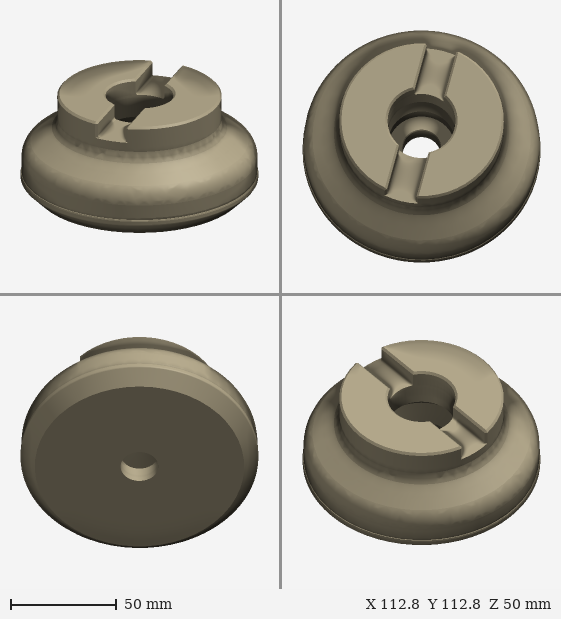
import cadquery as cq
import math

POSITION_TOLERANCE = 0.0001
UPRIGHT_LIMIT = 0.99

base_radius = 56.4
total_height = 50.0
joint_height = 9.5

bevel_corner_height = 6.8
bevel_rounding = 1.0
base_rim_chamfer_height = 0.7
base_rim_chamfer_width = 0.2
hole_diameter = 18.0
hole_chamfer = 0.5

skirt_radius = 112.0 / 2
skirt_chamfer_height = 1.0
skirt_chamfer_width = 0.17
neck_radius = 78.0 / 2
slope_angle = 35.0
shoulder_corner_height = 22.3
shoulder_rounding = 10.0
neck_rounding = 6.0
groove_diameter = 45.1
groove_top = 30.6
groove_land = 0.7
upper_bore_diameter = 32.2
lower_bore_diameter = 32.0
bore_taper_length = 1.2
slot_width = 14.5
slot_depth = 8.1
slot_floor_rounding = 1.0
edge_chamfer = 1.0

slot_floor = total_height - slot_depth
slope_rise = (skirt_radius - neck_radius) * math.tan(math.radians(slope_angle))
neck_corner_height = shoulder_corner_height + slope_rise


def turned(points):
    """Revolve a closed (radius, height) outline about the Z axis."""
    return cq.Workplane("XZ").polyline(points).close().revolve(360, (0, 0, 0), (0, 1, 0))


def circle_at(body, radius, height):
    """Select the full circular edge with the given radius and height."""
    def matches(edge):
        at_height = math.isclose(edge.Center().z, height, abs_tol=POSITION_TOLERANCE)
        circular = edge.geomType() == "CIRCLE"
        return circular and at_height and math.isclose(edge.radius(), radius, abs_tol=POSITION_TOLERANCE)
    return body.edges().filter(matches)


def make_base():
    hole_radius = hole_diameter / 2
    body = turned([
        (hole_radius, 0),
        (base_radius - bevel_corner_height, 0),
        (base_radius, bevel_corner_height),
        (base_radius, joint_height),
        (hole_radius, joint_height),
    ])
    body = circle_at(body, base_radius, bevel_corner_height).fillet(bevel_rounding)
    rim = circle_at(body, base_radius, joint_height)
    body = rim.chamfer(base_rim_chamfer_height, base_rim_chamfer_width)
    return circle_at(body, hole_radius, joint_height).chamfer(hole_chamfer)


def make_shell():
    """Turned housing, before the bore is cut."""
    body = turned([
        (0, joint_height),
        (skirt_radius, joint_height),
        (skirt_radius, shoulder_corner_height),
        (neck_radius, neck_corner_height),
        (neck_radius, total_height),
        (0, total_height),
    ])
    body = circle_at(body, skirt_radius, shoulder_corner_height).fillet(shoulder_rounding)
    body = circle_at(body, neck_radius, neck_corner_height).fillet(neck_rounding)
    skirt_edge = circle_at(body, skirt_radius, joint_height)
    return skirt_edge.chamfer(skirt_chamfer_height, skirt_chamfer_width)


def make_bore():
    """Cutter for the bore: chamfered mouth, taper, lower bore and its V-shaped groove."""
    upper_radius = upper_bore_diameter / 2
    lower_radius = lower_bore_diameter / 2
    groove_radius = groove_diameter / 2
    flank_height = groove_radius - lower_radius
    land_top = groove_top - flank_height
    land_bottom = land_top - groove_land
    return turned([
        (0, joint_height),
        (lower_radius, joint_height),
        (lower_radius, land_bottom - flank_height),
        (groove_radius, land_bottom),
        (groove_radius, land_top),
        (lower_radius, groove_top),
        (lower_radius, slot_floor - bore_taper_length),
        (upper_radius, slot_floor),
        (upper_radius, total_height - edge_chamfer),
        (upper_radius + edge_chamfer, total_height),
        (0, total_height),
    ])


def make_slot():
    """Cutter for the driving slot along Y."""
    return (
        cq.Workplane("XY", origin=(0, 0, slot_floor))
        .rect(slot_width, 2 * base_radius)
        .extrude(slot_depth)
    )


def is_outer_slot_corner(edge):
    """True for the upright edges where the slot walls leave the neck."""
    middle = edge.Center()
    upright = edge.geomType() == "LINE" and abs(edge.tangentAt(0.5).z) > UPRIGHT_LIMIT
    on_wall = math.isclose(abs(middle.x), slot_width / 2, abs_tol=POSITION_TOLERANCE)
    return upright and on_wall and abs(middle.y) > upper_bore_diameter / 2


def is_slot_floor_corner(edge):
    """True for the straight edges where the slot walls meet the slot floor."""
    middle = edge.Center()
    on_wall = math.isclose(abs(middle.x), slot_width / 2, abs_tol=POSITION_TOLERANCE)
    return on_wall and math.isclose(middle.z, slot_floor, abs_tol=POSITION_TOLERANCE)


def make_housing():
    body = make_shell().cut(make_slot())
    rims = body.faces(">Z").edges()
    corners = body.edges().filter(is_outer_slot_corner)
    body = rims.add(corners).chamfer(edge_chamfer)
    body = body.edges().filter(is_slot_floor_corner).fillet(slot_floor_rounding)
    return body.cut(make_bore())


base = make_base()
housing = make_housing()
result = cq.Compound.makeCompound([base.val(), housing.val()])